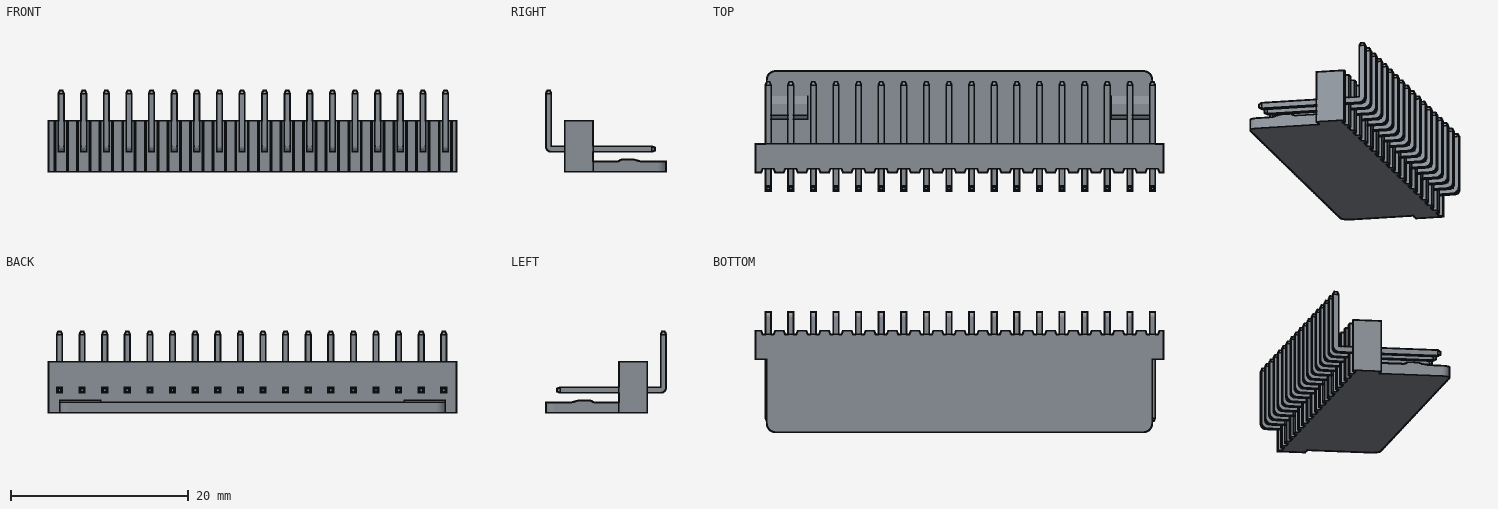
import cadquery as cq

body_length = 45.9
body_depth = 3.2
body_height = 5.8

pin_count = 18
pin_row_span = 43.2
pin_row_offset = 0.1
pin_pitch = pin_row_span / (pin_count - 1)
pin_width = 0.65
pin_axis_height = 2.55
pin_reach_front = 2.1
pin_tail_top = 9.2
tip_length = 0.35
tip_width = 0.3

groove_depth = 0.4
groove_floor_width = 1.25
groove_mouth_width = 1.55

shelf_length = 43.35
shelf_depth = 8.2
shelf_thickness = 1.2
shelf_corner_radius = 1.0
shelf_end_y = body_depth + shelf_depth

mating_tip_setback = 1.25
mating_tip_y = shelf_end_y - mating_tip_setback

bump_length = 4.6
bump_height = 0.25
bump_setback = 2.85
bump_rear_y = shelf_end_y - bump_setback
bump_rear_slope = 0.85
bump_front_slope = 0.4
bump_base_depth = 2.55

first_pin_x = pin_row_offset - pin_row_span / 2
pin_positions = [first_pin_x + i * pin_pitch for i in range(pin_count)]


def make_body():
    block = cq.Workplane("XY").box(body_length, body_depth, body_height, centered=(True, False, False))
    groove = (
        cq.Workplane("XY")
        .polyline([
            (-groove_mouth_width / 2, 0),
            (groove_mouth_width / 2, 0),
            (groove_floor_width / 2, groove_depth),
            (-groove_floor_width / 2, groove_depth),
        ])
        .close()
        .extrude(body_height)
    )
    for x in pin_positions:
        block = block.cut(groove.translate((x, 0, 0)))
    return block


def make_shelf():
    return (
        cq.Workplane("XY", origin=(0, body_depth, 0))
        .box(shelf_length, shelf_depth, shelf_thickness, centered=(True, False, False))
        .edges("|Z and >Y")
        .fillet(shelf_corner_radius)
    )


def make_bump(start_x):
    """Latch bump running bump_length along +X from start_x; it reaches down to the shelf underside."""
    base_front_y = bump_rear_y - bump_base_depth
    bump_top = shelf_thickness + bump_height
    return (
        cq.Workplane("YZ", origin=(start_x, 0, 0))
        .moveTo(base_front_y, 0)
        .lineTo(base_front_y, shelf_thickness)
        .lineTo(base_front_y + bump_front_slope, bump_top)
        .lineTo(bump_rear_y - bump_rear_slope, bump_top)
        .lineTo(bump_rear_y, shelf_thickness)
        .lineTo(bump_rear_y, 0)
        .close()
        .extrude(bump_length)
    )


def make_tip(plane):
    """Square taper closing a pin end, growing along the plane normal."""
    return (
        cq.Workplane(plane)
        .rect(pin_width, pin_width)
        .workplane(offset=tip_length)
        .rect(tip_width, tip_width)
        .loft()
    )


def make_pin():
    """Pin at X = 0: mating leg along +Y, tail up along +Z, outer bend rounded."""
    half = pin_width / 2
    front_y = -pin_reach_front
    leg_end_y = mating_tip_y - tip_length
    tail_end_z = pin_tail_top - tip_length
    wire = (
        cq.Workplane("YZ", origin=(-half, 0, 0))
        .moveTo(front_y + pin_width, pin_axis_height - half)
        .lineTo(leg_end_y, pin_axis_height - half)
        .lineTo(leg_end_y, pin_axis_height + half)
        .lineTo(front_y + pin_width, pin_axis_height + half)
        .lineTo(front_y + pin_width, tail_end_z)
        .lineTo(front_y, tail_end_z)
        .lineTo(front_y, pin_axis_height + half)
        .radiusArc((front_y + pin_width, pin_axis_height - half), -pin_width)
        .close()
        .extrude(pin_width)
    )
    leg_plane = cq.Plane(origin=(0, leg_end_y, pin_axis_height), xDir=(1, 0, 0), normal=(0, 1, 0))
    tail_plane = cq.Plane(origin=(0, front_y + half, tail_end_z), xDir=(1, 0, 0), normal=(0, 0, 1))
    return wire.union(make_tip(leg_plane)).union(make_tip(tail_plane))


result = make_body().union(make_shelf())

for bump_start in (-shelf_length / 2, shelf_length / 2 - bump_length):
    result = result.union(make_bump(bump_start))

pin = make_pin()
for x in pin_positions:
    result = result.union(pin.translate((x, 0, 0)))